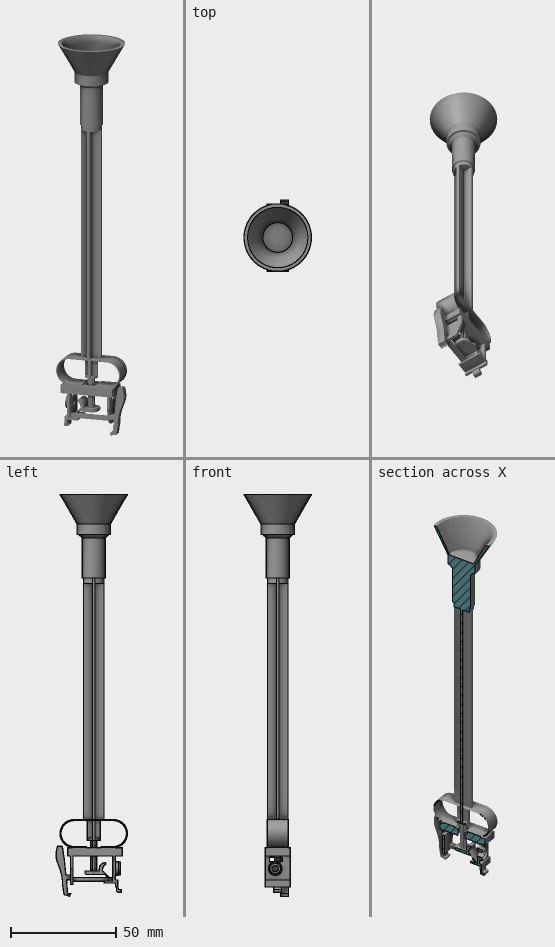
import cadquery as cq

TOP_Z = 191.0
RIM_RADIUS = 16.0
COLLAR_RADIUS = 8.0
COLLAR_TOP_Z = 177.0
COLLAR_BOTTOM_Z = 171.8
NECK_RADIUS = 7.0
TUBE_RADIUS = 5.5
TUBE_TOP_Z = 170.3
TUBE_BOTTOM_Z = 151.2
BOWL_RIM_RADIUS = 14.3
BOWL_FLOOR_RADIUS = 7.0
BOWL_FLOOR_Z = 177.5

SHAFT_WIDTH = 10.0
SHAFT_WEB = 1.3
SPIGOT_LENGTH = 2.5
TAIL_WIDTH = 6.3
CAP_TOP_Z = 27.9
CAP_BOTTOM_Z = 26.7
ROD_WIDTH = 3.0
ROD_END_TOP_Z = 12.8

LOOP_BOTTOM_Z = 23.3
LOOP_HEIGHT = 13.4
LOOP_LENGTH = 2 * RIM_RADIUS
LOOP_WALL = 0.5
LOOP_WIDTH = 10.1
LOOP_GAP = 6.7

FRAME_WIDTH = 12.0
PLATE_BACK_Y = 12.5
PLATE_FRONT_Y = -13.5
PLATE_BOTTOM_Z = 19.3
PLATE_HOLE_RADIUS = 2.7
POST_THICKNESS = 1.3
BACK_POST_Y = 9.7
BACK_POST_TAPER_Z = 13.4
BACK_POST_BOTTOM_Z = 5.7
BACK_POST_TIP_WIDTH = 6.1
FRONT_POST_Y = -10.3
WINDOW_LEFT_X = -3.8
WINDOW_RIGHT_X = 2.3
WINDOW_BOTTOM_Z = 16.6
WINDOW_TOP_Z = 18.7
LIP_INNER_Y = -5.0
LIP_BOTTOM_Z = 6.5
LIP_TOP_Z = 7.5
TOE_FRONT_Y = -11.5
TOE_BOTTOM_Z = 4.5
TOE_TOP_Z = 8.0

BAR_WIDTH = 2.3
BAR_BOTTOM_Z = 7.3
BAR_TOP_Z = 9.2
TAB_WIDTH = 3.8
TAB_BOTTOM_Z = 2.1
TAB_TOP_Z = 3.5
TAB_END_Y = -13.2
HOOK_WIDTH = 8.0
HOOK_END_Y = 4.2
HOOK_BOTTOM_Z = 10.5
HOOK_TOP_Z = 12.2
KNOB_X = -1.1
KNOB_Z = 13.4
KNOB_RADIUS = 3.2
KNOB_BORE_RADIUS = 1.5
KNOB_LENGTH = 2.3
KNOB_STEP_WIDTH = 0.2
KNOB_STEP_DEPTH = 0.8
KNOB_RECESS_RADIUS = 2.5
LEVER_LEFT_X = 1.3
LEVER_WIDTH = 3.8
LEVER_TOP_Z = 24.0
LEVER_ARM_BOTTOM_Z = 8.0
LEVER_ARM_TOP_Z = 10.3


def block(x_range, y_range, z_range):
    """Box given by its limits along each axis."""
    lows, highs = zip(x_range, y_range, z_range)
    size = [high - low for low, high in zip(lows, highs)]
    return cq.Workplane("XY").box(*size, centered=False).translate(lows)


def centred(width):
    """Limits of a width that is symmetric about zero."""
    return (-width / 2, width / 2)


def side_plate(outline, left_x, width):
    """Plate of the given YZ outline, extruded toward +X from left_x."""
    return outline.close().extrude(width).translate((left_x, 0, 0))


def cylinder(radius, bottom_z, top_z):
    return cq.Workplane("XY").workplane(offset=bottom_z).circle(radius).extrude(top_z - bottom_z)


def cross(width, bottom_z, top_z):
    """Upright bar with a plus-shaped section."""
    z_range = (bottom_z, top_z)
    along_x = block(centred(width), centred(SHAFT_WEB), z_range)
    along_y = block(centred(SHAFT_WEB), centred(width), z_range)
    return along_x.union(along_y)


def funnel():
    profile = [
        (0, TUBE_BOTTOM_Z),
        (TUBE_RADIUS, TUBE_BOTTOM_Z),
        (TUBE_RADIUS, TUBE_TOP_Z),
        (NECK_RADIUS, COLLAR_BOTTOM_Z),
        (COLLAR_RADIUS, COLLAR_BOTTOM_Z),
        (COLLAR_RADIUS, COLLAR_TOP_Z),
        (RIM_RADIUS, TOP_Z),
        (BOWL_RIM_RADIUS, TOP_Z),
        (BOWL_FLOOR_RADIUS, BOWL_FLOOR_Z),
        (0, BOWL_FLOOR_Z),
    ]
    return cq.Workplane("XZ").polyline(profile).close().revolve(360, (0, 0), (0, 1))


def shaft():
    loop_top_z = LOOP_BOTTOM_Z + LOOP_HEIGHT
    spigot = cylinder(SHAFT_WIDTH / 2, TUBE_BOTTOM_Z - SPIGOT_LENGTH, TUBE_BOTTOM_Z)
    main = cross(SHAFT_WIDTH, loop_top_z, TUBE_BOTTOM_Z)
    tail = cross(TAIL_WIDTH, CAP_BOTTOM_Z, loop_top_z)
    cap = cylinder(TAIL_WIDTH / 2, CAP_BOTTOM_Z, CAP_TOP_Z)
    rod = cross(ROD_WIDTH, HOOK_TOP_Z, CAP_BOTTOM_Z)
    rod_end = cylinder(ROD_WIDTH / 2, HOOK_BOTTOM_Z, ROD_END_TOP_Z)
    return spigot.union(main).union(tail).union(cap).union(rod).union(rod_end)


def spring_loop():
    """Flattened ring whose lower run is split to clear the rod."""
    centre_z = LOOP_BOTTOM_Z + LOOP_HEIGHT / 2
    ring = (
        cq.Workplane("YZ")
        .center(0, centre_z)
        .slot2D(LOOP_LENGTH, LOOP_HEIGHT)
        .slot2D(LOOP_LENGTH - 2 * LOOP_WALL, LOOP_HEIGHT - 2 * LOOP_WALL)
        .extrude(LOOP_WIDTH / 2, both=True)
    )
    gap = block(centred(LOOP_WIDTH), centred(LOOP_GAP), (LOOP_BOTTOM_Z, centre_z))
    return ring.cut(gap)


def back_post():
    """Post whose sides taper in toward the bottom end."""
    outline = [
        (-FRAME_WIDTH / 2, PLATE_BOTTOM_Z),
        (-FRAME_WIDTH / 2, BACK_POST_TAPER_Z),
        (-BACK_POST_TIP_WIDTH / 2, BACK_POST_BOTTOM_Z),
        (BACK_POST_TIP_WIDTH / 2, BACK_POST_BOTTOM_Z),
        (FRAME_WIDTH / 2, BACK_POST_TAPER_Z),
        (FRAME_WIDTH / 2, PLATE_BOTTOM_Z),
    ]
    outer_face = cq.Workplane("XZ", origin=(0, BACK_POST_Y + POST_THICKNESS, 0))
    return outer_face.polyline(outline).close().extrude(POST_THICKNESS)


def frame():
    full_width = centred(FRAME_WIDTH)
    front_post_y = (FRONT_POST_Y, FRONT_POST_Y + POST_THICKNESS)
    plate = block(full_width, (PLATE_FRONT_Y, PLATE_BACK_Y), (PLATE_BOTTOM_Z, LOOP_BOTTOM_Z))
    plate = plate.cut(cylinder(PLATE_HOLE_RADIUS, PLATE_BOTTOM_Z, LOOP_BOTTOM_Z))
    front_post = block(full_width, front_post_y, (LIP_BOTTOM_Z, PLATE_BOTTOM_Z))
    lip = block(full_width, (FRONT_POST_Y, LIP_INNER_Y), (LIP_BOTTOM_Z, LIP_TOP_Z))
    toe = block(full_width, (TOE_FRONT_Y, FRONT_POST_Y), (TOE_BOTTOM_Z, TOE_TOP_Z))
    window = block(
        (WINDOW_LEFT_X, WINDOW_RIGHT_X),
        (FRONT_POST_Y, BACK_POST_Y + POST_THICKNESS),
        (WINDOW_BOTTOM_Z, WINDOW_TOP_Z),
    )
    posts = back_post().union(front_post).cut(window)
    return plate.union(posts).union(lip).union(toe)


def tie_bar():
    """Bar joining the two posts, in line with the lever."""
    left_x = LEVER_LEFT_X + (LEVER_WIDTH - BAR_WIDTH) / 2
    return block((left_x, left_x + BAR_WIDTH), (FRONT_POST_Y, BACK_POST_Y), (BAR_BOTTOM_Z, BAR_TOP_Z))


def end_tab():
    """Tab that hangs below the toe and turns outward."""
    outline = (
        cq.Workplane("YZ")
        .moveTo(-10.7, TOE_BOTTOM_Z)
        .lineTo(TOE_FRONT_Y, TOE_BOTTOM_Z)
        .lineTo(-11.8, TAB_TOP_Z)
        .lineTo(TAB_END_Y, TAB_TOP_Z)
        .lineTo(TAB_END_Y, TAB_BOTTOM_Z)
        .lineTo(TOE_FRONT_Y, TAB_BOTTOM_Z)
        .lineTo(-10.7, 2.7)
    )
    return side_plate(outline, -TAB_WIDTH / 2, TAB_WIDTH)


def hook():
    """Round-ended foot under the rod, with a curled finger and a diagonal brace to the lip."""
    outline = (
        cq.Workplane("YZ")
        .moveTo(HOOK_END_Y, HOOK_TOP_Z)
        .lineTo(-2.5, HOOK_TOP_Z)
        .lineTo(-2.7, 14.1)
        .threePointArc((-3.8, 15.7), (-5.5, 16.2))
        .lineTo(-6.0, 15.7)
        .threePointArc((-4.8, 14.5), (-4.2, HOOK_TOP_Z))
        .lineTo(-9.0, 7.6)
        .lineTo(-8.4, LIP_BOTTOM_Z)
        .lineTo(-5.3, HOOK_BOTTOM_Z)
        .lineTo(3.6, HOOK_BOTTOM_Z)
        .lineTo(HOOK_END_Y, 11.0)
    )
    end_radius = HOOK_WIDTH / 2
    round_start_y = HOOK_END_Y - end_radius
    plan = (
        cq.Workplane("XY")
        .moveTo(-end_radius, FRONT_POST_Y)
        .lineTo(-end_radius, round_start_y)
        .threePointArc((0, HOOK_END_Y), (end_radius, round_start_y))
        .lineTo(end_radius, FRONT_POST_Y)
        .close()
        .extrude(PLATE_BOTTOM_Z)
    )
    return side_plate(outline, -end_radius, HOOK_WIDTH).intersect(plan)


def knob_cylinder(radius, start_y, length):
    """Cylinder on the knob axis, running toward -Y from start_y."""
    return cq.Workplane("XZ", origin=(KNOB_X, start_y, KNOB_Z)).circle(radius).extrude(length)


def knob():
    """Knob with a slight step around its front end and a recess in its front face."""
    body_length = KNOB_LENGTH - KNOB_STEP_DEPTH
    step_y = FRONT_POST_Y - body_length
    body = knob_cylinder(KNOB_RADIUS, FRONT_POST_Y, body_length)
    front = knob_cylinder(KNOB_RADIUS - KNOB_STEP_WIDTH, step_y, KNOB_STEP_DEPTH)
    recess = knob_cylinder(KNOB_RECESS_RADIUS, step_y, KNOB_STEP_DEPTH)
    return body.union(front).cut(recess)


def knob_bore():
    """Hole through the knob and the front post."""
    return knob_cylinder(KNOB_BORE_RADIUS, FRONT_POST_Y + POST_THICKNESS, POST_THICKNESS + KNOB_LENGTH)


def lever():
    """Curved handle behind the back post, joined to it by a short arm."""
    outline = (
        cq.Workplane("YZ")
        .moveTo(17.2, LEVER_TOP_Z)
        .spline([(17.8, 21.8), (17.8, 18.0), (16.5, 14.1), (15.3, 10.3), (14.9, 6.0)], includeCurrent=True)
        .lineTo(14.1, 1.0)
        .lineTo(12.2, 0.5)
        .lineTo(11.5, 0)
        .lineTo(10.9, 1.5)
        .lineTo(12.5, 1.5)
        .lineTo(12.8, LEVER_ARM_BOTTOM_Z)
        .lineTo(BACK_POST_Y, LEVER_ARM_BOTTOM_Z)
        .lineTo(BACK_POST_Y, LEVER_ARM_TOP_Z)
        .lineTo(13.2, LEVER_ARM_TOP_Z)
        .lineTo(14.0, 18.0)
        .lineTo(14.7, 23.0)
        .lineTo(15.0, LEVER_TOP_Z)
    )
    return side_plate(outline, LEVER_LEFT_X, LEVER_WIDTH)


result = funnel()
for feature in (shaft, spring_loop, frame, tie_bar, end_tab, hook, knob, lever):
    result = result.union(feature())
result = result.cut(knob_bore())